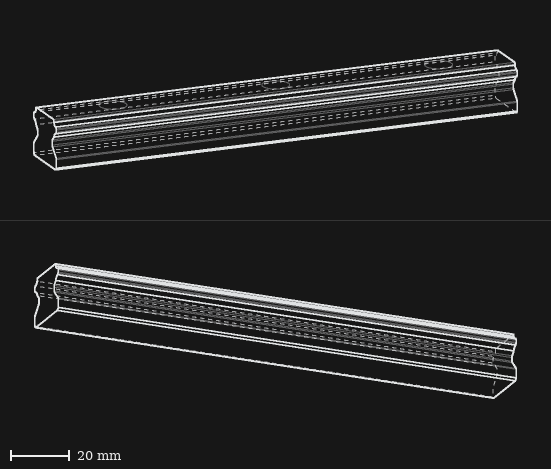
import cadquery as cq

WIDTH = 20.0
LENGTH = 170.0
HEIGHT = 17.5

FOOT_CHAMFER = 0.8
FOOT_SIDE_TOP = 4.2

WAIST_WIDTH = 12.8
WAIST_TOP = 9.8
WAIST_BOTTOM = FOOT_SIDE_TOP + (WIDTH - WAIST_WIDTH) / 2
WAIST_FILLET = 0.8

HEAD_SIDE_BOTTOM = 13.5
HEAD_SIDE_TOP = 14.7
LIP_RUN = 0.6
TOP_WIDTH = 15.8
UPPER_GROOVE_TOP = 16.5
LOWER_GROOVE_WIDTH = 15.8
LOWER_GROOVE_BOTTOM = WAIST_TOP + (LOWER_GROOVE_WIDTH - WAIST_WIDTH) / 2
BALL_GROOVE_SAG = 0.3

CORNER_FILLET = 0.5

CAP_DIAMETER = 9.5
CAP_THICKNESS = 2.0
CAP_COUNT = 3
CAP_PITCH = 60.0
FIRST_CAP_FROM_END = (LENGTH - (CAP_COUNT - 1) * CAP_PITCH) / 2


def half_section():
    """Closed outline of the +X half of the cross-section, in the XZ plane."""
    side = WIDTH / 2
    waist = WAIST_WIDTH / 2
    top = TOP_WIDTH / 2
    return (
        cq.Workplane("XZ")
        .moveTo(0, 0)
        .lineTo(side - FOOT_CHAMFER, 0)
        .lineTo(side, FOOT_CHAMFER)
        .lineTo(side, FOOT_SIDE_TOP)
        .lineTo(waist, WAIST_BOTTOM)
        .lineTo(waist, WAIST_TOP)
        .lineTo(LOWER_GROOVE_WIDTH / 2, LOWER_GROOVE_BOTTOM)
        .sagittaArc((side - LIP_RUN, HEAD_SIDE_BOTTOM - LIP_RUN), BALL_GROOVE_SAG)
        .lineTo(side, HEAD_SIDE_BOTTOM)
        .lineTo(side, HEAD_SIDE_TOP)
        .lineTo(side - LIP_RUN, HEAD_SIDE_TOP + LIP_RUN)
        .sagittaArc((top, UPPER_GROOVE_TOP), BALL_GROOVE_SAG)
        .lineTo(top, HEIGHT)
        .lineTo(0, HEIGHT)
        .close()
    )


def fillet_edges_at(body, x, z, radius):
    """Round the pair of lengthwise edges that run through (+-x, z)."""
    for side in (-1, 1):
        body = body.edges(cq.selectors.NearestToPointSelector((side * x, 0, z))).fillet(radius)
    return body


def rail_bar():
    """Full bar, symmetric about the YZ plane and centred along Y."""
    half = half_section().extrude(LENGTH / 2, both=True)
    bar = half.union(half.mirror("YZ"), clean=True)
    for corner_height in (WAIST_BOTTOM, WAIST_TOP):
        bar = fillet_edges_at(bar, WAIST_WIDTH / 2, corner_height, WAIST_FILLET)
    for corner_height in (FOOT_SIDE_TOP, HEAD_SIDE_BOTTOM, HEAD_SIDE_TOP):
        bar = fillet_edges_at(bar, WIDTH / 2, corner_height, CORNER_FILLET)
    return fillet_edges_at(bar, TOP_WIDTH / 2, HEIGHT, CORNER_FILLET)


def hole_caps():
    """Discs that sit flush with the top face, evenly spaced along the rail."""
    first = -LENGTH / 2 + FIRST_CAP_FROM_END
    centers = [(0, first + i * CAP_PITCH) for i in range(CAP_COUNT)]
    return (
        cq.Workplane("XY", origin=(0, 0, HEIGHT - CAP_THICKNESS))
        .pushPoints(centers)
        .circle(CAP_DIAMETER / 2)
        .extrude(CAP_THICKNESS)
    )


caps = hole_caps()
result = rail_bar().cut(caps).union(caps, clean=False)